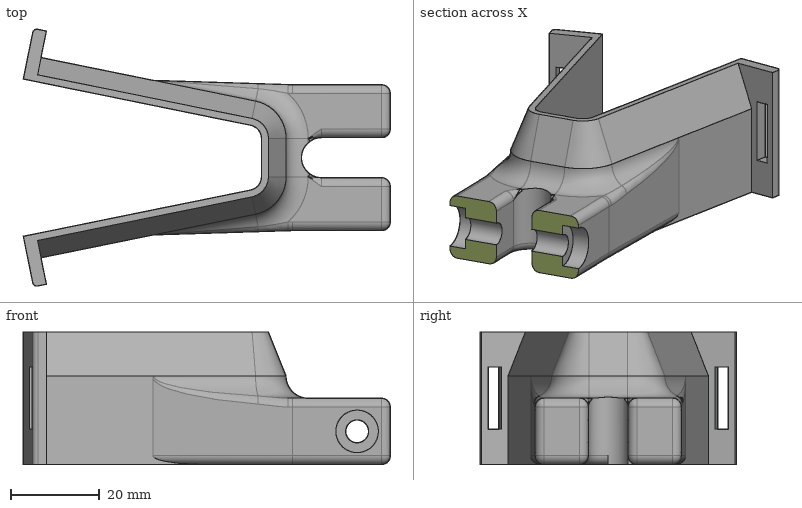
import cadquery as cq
import math

HEIGHT = 30.0
ARM_ANGLE = math.radians(11.5)
FRAME_REACH = 53.8
BIGHT_HALF_WIDTH = 4.35
BIGHT_RADIUS = 3.0
WALL = 5.6
TOP_WALL = 1.6
BEVEL_START = 20.0

LIP_THICKNESS = 3.0
LIP_OVERHANG = 6.1
LIP_REACH = WALL + LIP_OVERHANG
LIP_ROUND = 1.0
LIP_SLOT_WIDTH = 3.0
LIP_SLOT_HEIGHT = 14.0
LIP_SLOT_CENTER_Z = HEIGHT / 2

FORK_TIP = 29.15
FORK_ROOT = -35.0
FORK_HEIGHT = 15.0
FORK_HALF_WIDTH = 16.5
FORK_TAPER_START = 7.05
FORK_TAPER = math.radians(1.8)
FORK_ROUND = 2.0
NECK_RADIUS = BEVEL_START - FORK_HEIGHT
NECK_TOE = WALL + NECK_RADIUS

SLOT_RADIUS = 4.5
SLOT_CENTER = 13.6

HOLE_DIAMETER = 5.1
COUNTERBORE_DIAMETER = 9.6
COUNTERBORE_DEPTH = 4.0
HOLE_X = FORK_TIP - 7.5
HOLE_Z = FORK_HEIGHT / 2

CLEARANCE = 1.0

ALONG_ARM = (-math.cos(ARM_ANGLE), math.sin(ARM_ANGLE))
ACROSS_ARM = (math.sin(ARM_ANGLE), math.cos(ARM_ANGLE))
BEND_CENTER = (-BIGHT_RADIUS, BIGHT_HALF_WIDTH)
BEND_MIDDLE = (math.pi / 2 - ARM_ANGLE) / 2
INNER_BEND_END_X = BEND_CENTER[0] + BIGHT_RADIUS * ACROSS_ARM[0]
ARM_LENGTH = (FRAME_REACH + INNER_BEND_END_X) / math.cos(ARM_ANGLE)
LIP_BACK = ARM_LENGTH - LIP_THICKNESS


def arm_point(along, across):
    """Plan point of the +Y arm: distance past the bend, distance out from the inner face."""
    radius = BIGHT_RADIUS + across
    x = BEND_CENTER[0] + along * ALONG_ARM[0] + radius * ACROSS_ARM[0]
    y = BEND_CENTER[1] + along * ALONG_ARM[1] + radius * ACROSS_ARM[1]
    return (x, y)


def opposite(point):
    return (point[0], -point[1])


def both_sides(body):
    return body.union(body.mirror("XZ"))


def band_curve(offset, z=0.0):
    """Open curve at a distance outside the inner frame face: arm, bend, bight, bend, arm."""
    radius = BIGHT_RADIUS + offset
    arm_end = arm_point(ARM_LENGTH, offset)
    bend_end = arm_point(0, offset)
    bend_middle = (
        BEND_CENTER[0] + radius * math.cos(BEND_MIDDLE),
        BEND_CENTER[1] + radius * math.sin(BEND_MIDDLE),
    )
    bight_end = (offset, BIGHT_HALF_WIDTH)
    return (
        cq.Workplane("XY", origin=(0, 0, z))
        .moveTo(*arm_end)
        .lineTo(*bend_end)
        .threePointArc(bend_middle, bight_end)
        .lineTo(*opposite(bight_end))
        .threePointArc(opposite(bend_middle), opposite(bend_end))
        .lineTo(*opposite(arm_end))
    )


def frame_envelope():
    """Everything inside the outer frame face: upright, then bevelled inward to the top."""
    lower = band_curve(WALL).close().extrude(BEVEL_START)
    bevel_base = band_curve(WALL, BEVEL_START).close().val()
    bevel_top = band_curve(TOP_WALL, HEIGHT).close().val()
    return lower.union(cq.Workplane(cq.Solid.makeLoft([bevel_base, bevel_top], True)))


def frame_opening():
    return band_curve(0).close().extrude(HEIGHT)


def neck():
    """Concave round between the fork top and the outer frame face."""
    start = arm_point(ARM_LENGTH, WALL)
    section_plane = cq.Plane(
        origin=(*start, FORK_HEIGHT),
        xDir=(*ACROSS_ARM, 0),
        normal=(-ALONG_ARM[0], -ALONG_ARM[1], 0),
    )
    arc_middle = NECK_RADIUS * (1 - math.sqrt(0.5))
    section = (
        cq.Workplane(section_plane)
        .moveTo(-CLEARANCE, -CLEARANCE)
        .lineTo(NECK_RADIUS, -CLEARANCE)
        .lineTo(NECK_RADIUS, 0)
        .threePointArc((arc_middle, arc_middle), (0, NECK_RADIUS))
        .lineTo(-CLEARANCE, NECK_RADIUS)
        .close()
    )
    return section.sweep(band_curve(WALL))


def fork_outline():
    root_half_width = FORK_HALF_WIDTH + (FORK_TAPER_START - FORK_ROOT) * math.tan(FORK_TAPER)
    side = [
        (FORK_ROOT, root_half_width),
        (FORK_TAPER_START, FORK_HALF_WIDTH),
        (FORK_TIP, FORK_HALF_WIDTH),
    ]
    other_side = [opposite(point) for point in reversed(side)]
    return cq.Workplane("XY").polyline(side + other_side).close()


def fork():
    slab = fork_outline().extrude(FORK_HEIGHT)
    return slab.union(neck().intersect(fork_outline().extrude(BEVEL_START)))


def prong_gap():
    """Straight part of the slot between the prongs."""
    length = FORK_TIP - SLOT_CENTER
    return (
        cq.Workplane("XY", origin=(SLOT_CENTER + length / 2, 0, 0))
        .rect(length, 2 * SLOT_RADIUS)
        .extrude(FORK_HEIGHT)
    )


def edges_near_plane(body, start_x, half_width, margin):
    """Edges, other than upright ones, centered close to the planes y = +/- half_width."""
    chosen = []
    for y in (half_width, -half_width):
        box = cq.selectors.BoxSelector(
            (start_x, y - margin, -margin),
            (FORK_TIP - margin, y + margin, BEVEL_START - margin),
        )
        chosen += body.edges(box).edges("not |Z").vals()
    return chosen


def round_fork(body):
    """Round the outer sides, the tips and the straight inner edges of the prongs."""
    side_start = arm_point(ARM_LENGTH / 2, WALL)[0]
    side_flare = 0.9
    tolerance = 0.1
    edges = edges_near_plane(body, side_start, FORK_HALF_WIDTH, side_flare)
    edges += edges_near_plane(body, SLOT_CENTER + CLEARANCE, SLOT_RADIUS, tolerance)
    edges += body.faces(">X").edges().vals()
    return body.newObject(edges).fillet(FORK_ROUND)


def slot_end():
    return cq.Workplane("XY").center(SLOT_CENTER, 0).circle(SLOT_RADIUS).extrude(BEVEL_START)


def slot_end_base_round():
    """Tool rounding the base edge of the slot end, flush with the prong edge rounds."""
    arc_middle = FORK_ROUND * (1 - math.sqrt(0.5))
    return (
        cq.Workplane("XZ", origin=(SLOT_CENTER, 0, 0))
        .moveTo(SLOT_RADIUS, 0)
        .lineTo(SLOT_RADIUS + FORK_ROUND, 0)
        .threePointArc((SLOT_RADIUS + arc_middle, arc_middle), (SLOT_RADIUS, FORK_ROUND))
        .close()
        .revolve(180, (0, 0, 0), (0, -1, 0))
    )


def slot_round_runout():
    """Tool carrying the +Y prong's inner top round on to a point at the toe of the neck."""
    arc_middle = FORK_ROUND * (1 - math.sqrt(0.5))
    tip_scale = 0.01

    def section(x, inner_y, scale):
        return (
            cq.Workplane("YZ", origin=(x, inner_y, FORK_HEIGHT))
            .lineTo(FORK_ROUND * scale, 0)
            .threePointArc(
                (arc_middle * scale, -arc_middle * scale),
                (0, -FORK_ROUND * scale),
            )
            .lineTo(-SLOT_RADIUS * scale, -FORK_ROUND * scale)
            .lineTo(-SLOT_RADIUS * scale, 0)
            .close()
            .val()
        )

    start = section(SLOT_CENTER, SLOT_RADIUS, 1)
    tip = section(NECK_TOE, BIGHT_HALF_WIDTH, tip_scale)
    return cq.Workplane(cq.Solid.makeLoft([start, tip], True))


def lip():
    """Slotted lip of the +Y arm, rounded at the outer corner of its tip."""
    corners = [
        arm_point(ARM_LENGTH, 0),
        arm_point(ARM_LENGTH, LIP_REACH),
        arm_point(LIP_BACK, LIP_REACH),
        arm_point(LIP_BACK, 0),
    ]
    body = cq.Workplane("XY").polyline(corners).close().extrude(HEIGHT)
    body = body.edges("|Z").edges(">Y").fillet(LIP_ROUND)
    slot_plane = cq.Plane(
        origin=(*arm_point(ARM_LENGTH, WALL + LIP_OVERHANG / 2), LIP_SLOT_CENTER_Z),
        xDir=(*ACROSS_ARM, 0),
        normal=(-ALONG_ARM[0], -ALONG_ARM[1], 0),
    )
    slot = cq.Workplane(slot_plane).rect(LIP_SLOT_WIDTH, LIP_SLOT_HEIGHT).extrude(LIP_THICKNESS)
    return body.cut(slot)


def prong_hole():
    """Cross hole of the +Y prong, counterbored from the outer side."""
    outer_face = cq.Workplane("XZ", origin=(HOLE_X, FORK_HALF_WIDTH, HOLE_Z))
    bore = outer_face.circle(HOLE_DIAMETER / 2).extrude(FORK_HALF_WIDTH)
    counterbore = outer_face.circle(COUNTERBORE_DIAMETER / 2).extrude(COUNTERBORE_DEPTH)
    return bore.union(counterbore)


body = frame_envelope().union(fork()).cut(prong_gap())
body = round_fork(body)
body = body.cut(slot_end()).cut(slot_end_base_round())
body = body.cut(both_sides(slot_round_runout()))
body = body.cut(both_sides(prong_hole()))
result = body.cut(frame_opening()).union(both_sides(lip()))